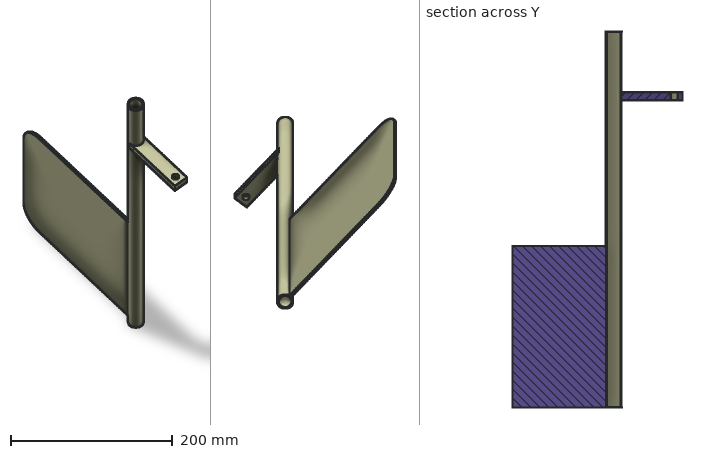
import cadquery as cq

TUBE_LENGTH = 464.5
TUBE_DIAMETER = 20.0
TUBE_WALL = 2.0
ASSEMBLY_TURN = 0.5

PLATE_SIDE = 200.0
PLATE_THICKNESS = 3.0
PLATE_DROP = 0.5
PLATE_CORNER_RADIUS = 30.0

ARM_REACH = 85.0
ARM_WIDTH = TUBE_DIAMETER
ARM_THICKNESS = 10.0
ARM_TOP_BELOW_TUBE_TOP = 75.0
ARM_HOLE_DIAMETER = 8.5
ARM_HOLE_FROM_END = 10.0

TUBE_RADIUS = TUBE_DIAMETER / 2
PLATE_OUTER_X = -(TUBE_RADIUS + PLATE_SIDE)
ARM_BOTTOM_Z = TUBE_LENGTH - ARM_TOP_BELOW_TUBE_TOP - ARM_THICKNESS


def tube_envelope():
    """Solid cylinder that fills the outside of the tube."""
    return cq.Workplane("XY").circle(TUBE_RADIUS).extrude(TUBE_LENGTH)


def tube_clearance():
    """The tube envelope, lengthened downwards to clear the lowest edge of the plate."""
    return tube_envelope().faces("<Z").workplane().circle(TUBE_RADIUS).extrude(PLATE_DROP)


def make_tube():
    """Upright tube, open at both ends."""
    bore = cq.Workplane("XY").circle(TUBE_RADIUS - TUBE_WALL).extrude(TUBE_LENGTH)
    return tube_envelope().cut(bore)


def make_plate():
    """Thin upright plate, its inner edge fitted to the tube and its outer corners rounded."""
    blank = (
        cq.Workplane("XY")
        .box(-PLATE_OUTER_X, PLATE_THICKNESS, PLATE_SIDE, centered=(False, True, False))
        .translate((PLATE_OUTER_X, 0, -PLATE_DROP))
        .edges("|Y and <X")
        .fillet(PLATE_CORNER_RADIUS)
    )
    return blank.cut(tube_clearance())


def make_arm():
    """Flat arm saddled on the tube, with a vertical hole near its free end."""
    blank = (
        cq.Workplane("XY", origin=(0, 0, ARM_BOTTOM_Z))
        .box(ARM_REACH, ARM_WIDTH, ARM_THICKNESS, centered=(False, True, False))
    )
    hole = (
        cq.Workplane("XY", origin=(ARM_REACH - ARM_HOLE_FROM_END, 0, ARM_BOTTOM_Z))
        .circle(ARM_HOLE_DIAMETER / 2)
        .extrude(ARM_THICKNESS)
    )
    return blank.cut(tube_envelope()).cut(hole)


def turned(body):
    """The body turned with the whole assembly about the tube axis."""
    return body.rotate((0, 0, 0), (0, 0, 1), ASSEMBLY_TURN)


tube = turned(make_tube())
plate = turned(make_plate())
arm = turned(make_arm())

result = cq.Compound.makeCompound([tube.val(), plate.val(), arm.val()])